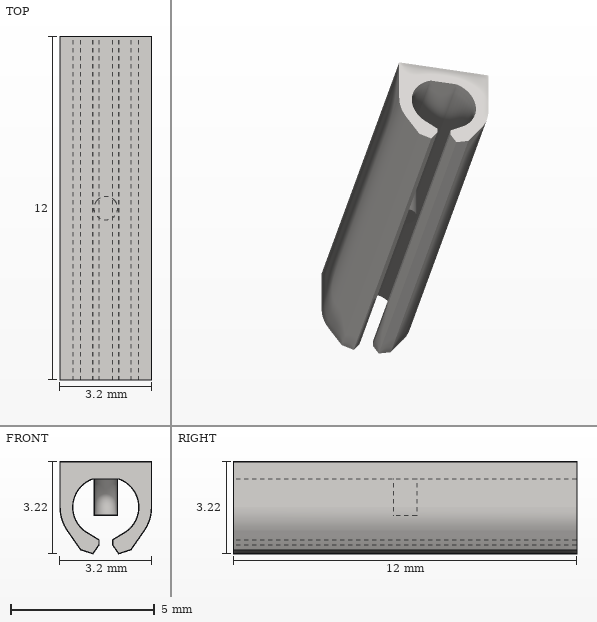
import cadquery as cq

width = 3.2
length = 12.0
height = 3.22
half_width = width / 2

axis_z = -1.6
flank_curve_end = (1.34, -2.42)
taper_end = (0.88, -3.08)
jaw_tip = (0.45, -height)

half_gap = 0.235
gap_bottom_z = -2.91
gap_top_z = -2.73

bore_half_width = 1.15
bore_wall_end = (0.73, -2.43)
ceiling_half_width = 0.47
ceiling_z = -0.615

pin_radius = 0.41
pin_bottom_z = -1.88
pin_overlap = 0.2


def make_half_clip():
    """Extrude the half of the clip on the +X side, centred along Y."""
    profile = (
        cq.Workplane("XZ")
        .lineTo(half_width, 0)
        .lineTo(half_width, axis_z)
        .tangentArcPoint(flank_curve_end, relative=False)
        .lineTo(*taper_end)
        .lineTo(*jaw_tip)
        .lineTo(half_gap, gap_bottom_z)
        .lineTo(half_gap, gap_top_z)
        .lineTo(*bore_wall_end)
        .threePointArc((bore_half_width, axis_z), (ceiling_half_width, ceiling_z))
        .lineTo(0, ceiling_z)
        .close()
    )
    return profile.extrude(length / 2, both=True)


def make_pin():
    """Vertical pin, sunk into the ceiling so that it joins the clip."""
    pin_top_z = ceiling_z + pin_overlap
    return (
        cq.Workplane("XY")
        .workplane(offset=pin_bottom_z)
        .circle(pin_radius)
        .extrude(pin_top_z - pin_bottom_z)
    )


half_clip = make_half_clip()
clip = half_clip.union(half_clip.mirror("YZ"))
result = clip.union(make_pin()).clean()